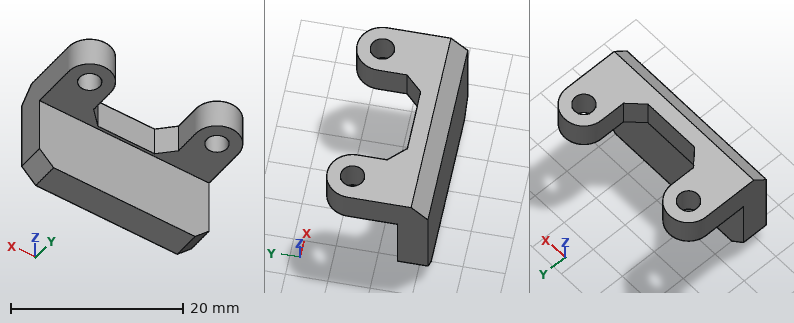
import cadquery as cq

width = 24.0
depth = 12.5
height = 13.75
plate_thickness = 4.0
wall_thickness = 3.62
bridge_depth = 4.0
ear_width = 6.0
hole_diameter = 2.8
bevel = 2.0

ear_radius = ear_width / 2
ear_center_x = width / 2 - ear_radius
ear_center_y = depth - ear_radius
gap_half_width = width / 2 - ear_width


def make_plate():
    """Horizontal plate with two round-ended ears, its top at Z = 0."""
    return (
        cq.Workplane("XY")
        .moveTo(-width / 2, 0)
        .lineTo(width / 2, 0)
        .lineTo(width / 2, ear_center_y)
        .threePointArc((ear_center_x, depth), (gap_half_width, ear_center_y))
        .lineTo(gap_half_width, bridge_depth + bevel)
        .lineTo(gap_half_width - bevel, bridge_depth)
        .lineTo(-gap_half_width + bevel, bridge_depth)
        .lineTo(-gap_half_width, bridge_depth + bevel)
        .lineTo(-gap_half_width, ear_center_y)
        .threePointArc((-ear_center_x, depth), (-width / 2, ear_center_y))
        .close()
        .extrude(-plate_thickness)
    )


def make_wall():
    """Vertical front wall with beveled lower corners."""
    return (
        cq.Workplane("XY")
        .box(width, wall_thickness, height, centered=(True, False, False))
        .translate((0, 0, -height))
        .edges("|Y and <Z")
        .chamfer(bevel)
    )


def drill_ears(body):
    """Cut a vertical through hole at the center of each ear."""
    holes = (
        cq.Workplane("XY")
        .pushPoints([(-ear_center_x, ear_center_y), (ear_center_x, ear_center_y)])
        .circle(hole_diameter / 2)
        .extrude(-plate_thickness)
    )
    return body.cut(holes)


bracket = make_plate().union(make_wall())
bracket = bracket.edges("|X and >Z and <Y").chamfer(bevel)
result = drill_ears(bracket)